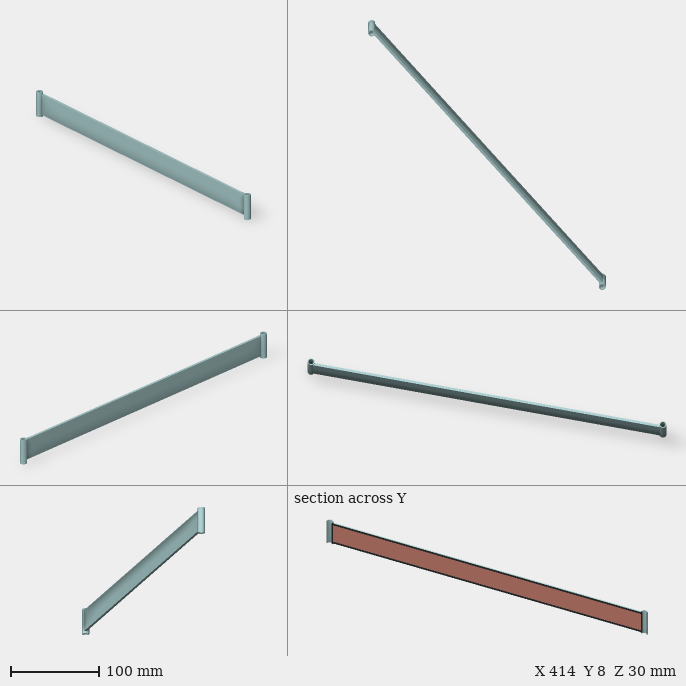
import cadquery as cq

length = 414.0
sleeve_radius = 4.0
sleeve_wall = 1.0
sleeve_height = 30.0
strap_height = 25.0
strap_thickness = 3.0

bore_radius = sleeve_radius - sleeve_wall
sleeve_x = length / 2 - sleeve_radius


def upright_cylinder(x, radius):
    """Vertical cylinder at x, centred on the XY plane."""
    base = cq.Workplane("XY", origin=(x, 0, -sleeve_height / 2))
    return base.circle(radius).extrude(sleeve_height)


def sleeve(x):
    """Vertical round tube at x."""
    return upright_cylinder(x, sleeve_radius).cut(upright_cylinder(x, bore_radius))


def front_region():
    """Oversized block around the -Y half of the left sleeve, ending on the sleeve's mid plane."""
    size = 2 * sleeve_height
    return cq.Workplane("XY").box(size, size, size).translate((-sleeve_x, -size / 2, 0))


def make_strap():
    """Flat strap with a full sleeve on the right and the rear half of a sleeve on the left."""
    strap = (
        cq.Workplane("XY")
        .box(2 * sleeve_x, strap_thickness, strap_height)
        .translate((0, strap_thickness / 2, 0))
    )
    for x in (-sleeve_x, sleeve_x):
        strap = strap.union(sleeve(x)).cut(upright_cylinder(x, bore_radius))
    return strap.cut(front_region())


def make_cap():
    """Front half of the left sleeve, closing against the strap's rear half."""
    return sleeve(-sleeve_x).intersect(front_region())


strap = make_strap()
cap = make_cap()
result = cq.Compound.makeCompound([strap.solids().val(), cap.solids().val()])